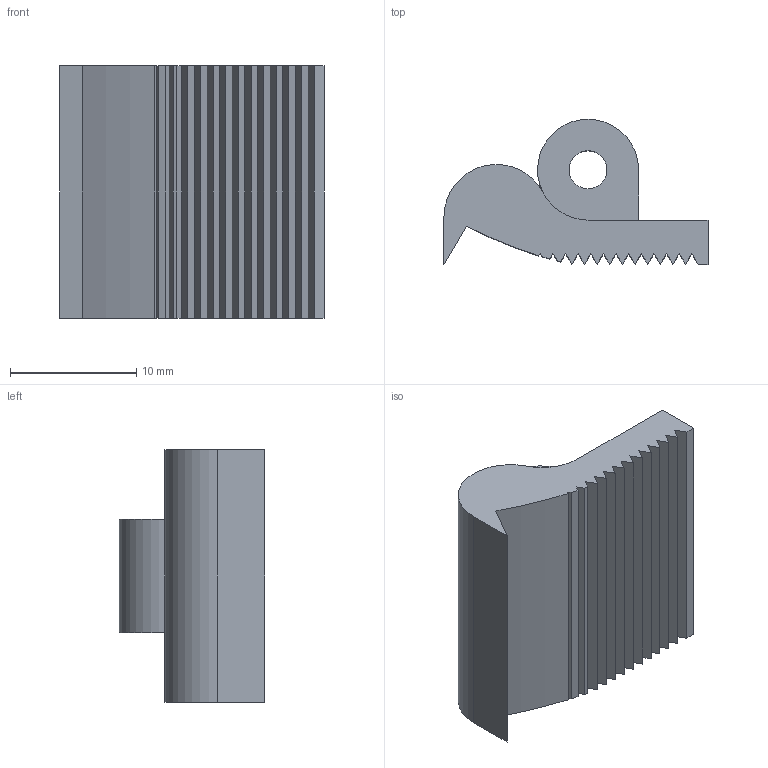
import cadquery as cq
import math

width = 20.0
plate_thickness = 3.5

lug_radius = 4.0
lug_width = 9.0
pin_diameter = 3.0
pivot_to_plate_end = 9.5

overall_length = 20.91
hook_center_y = 3.75

hook_throat_x = 1.78
hook_throat_y = 3.03
underside_end_x = 10.1
underside_radius = 34.0

groove_pitch = 1.0
groove_depth = groove_pitch * math.sqrt(3) / 2
groove_count = 13
last_groove_to_plate_end = 1.28

pivot_x = overall_length - pivot_to_plate_end
pivot_y = plate_thickness + lug_radius

rise = pivot_y - hook_center_y
hook_radius = (pivot_x**2 + rise**2 - lug_radius**2) / (2 * (pivot_x + lug_radius))
center_angle = math.atan2(rise, pivot_x - hook_radius)


def point_on_circle(center_x, center_y, radius, angle):
    return (center_x + radius * math.cos(angle), center_y + radius * math.sin(angle))


def arc_midpoint(start, end, radius):
    """Middle of a shallow arc from start to end, bulging to the right of that direction."""
    run = end[0] - start[0]
    fall = end[1] - start[1]
    chord = math.hypot(run, fall)
    bulge = radius - math.sqrt(radius**2 - (chord / 2) ** 2)
    middle_x = (start[0] + end[0]) / 2 + bulge * fall / chord
    middle_y = (start[1] + end[1]) / 2 - bulge * run / chord
    return (middle_x, middle_y)


def make_body():
    """Plate and hook, extruded over the full width."""
    hook_back_middle = point_on_circle(
        hook_radius, hook_center_y, hook_radius, (math.pi + center_angle) / 2
    )
    tangent_point = point_on_circle(hook_radius, hook_center_y, hook_radius, center_angle)
    seat_middle_angle = (math.pi + center_angle + 3 * math.pi / 2) / 2
    seat_middle = point_on_circle(pivot_x, pivot_y, lug_radius, seat_middle_angle)
    throat = (hook_throat_x, hook_throat_y)
    underside_end = (underside_end_x, 0)
    return (
        cq.Workplane("XY")
        .moveTo(0, 0)
        .lineTo(0, hook_center_y)
        .threePointArc(hook_back_middle, tangent_point)
        .threePointArc(seat_middle, (pivot_x, plate_thickness))
        .lineTo(overall_length, plate_thickness)
        .lineTo(overall_length, 0)
        .lineTo(*underside_end)
        .threePointArc(arc_midpoint(throat, underside_end, underside_radius), throat)
        .close()
        .extrude(width)
    )


def make_grooves():
    """V grooves across the full width, counted from the plate end towards the hook."""
    grooves = cq.Workplane("XY")
    for index in range(groove_count):
        apex_x = overall_length - last_groove_to_plate_end - index * groove_pitch
        groove = (
            cq.Workplane("XY")
            .moveTo(apex_x - groove_pitch / 2, 0)
            .lineTo(apex_x, groove_depth)
            .lineTo(apex_x + groove_pitch / 2, 0)
            .close()
            .extrude(width)
        )
        grooves = grooves.add(groove)
    return grooves.combine()


def make_lug():
    """Round eye with a square foot on its plate-end side, centred over the width."""
    base = cq.Workplane("XY", origin=(pivot_x, pivot_y, (width - lug_width) / 2))
    eye = base.circle(lug_radius).extrude(lug_width)
    foot = base.rect(lug_radius, -lug_radius, centered=False).extrude(lug_width)
    return eye.union(foot)


def make_pin_hole():
    return cq.Workplane("XY", origin=(pivot_x, pivot_y, 0)).circle(pin_diameter / 2).extrude(width)


result = make_body().cut(make_grooves()).union(make_lug()).cut(make_pin_hole())